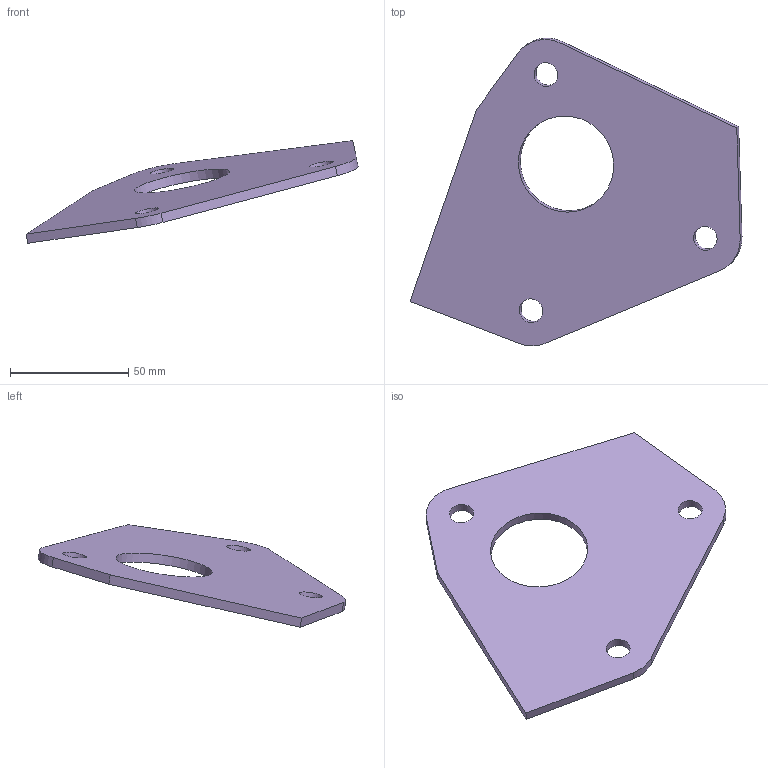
import cadquery as cq
import math

RISE_ALONG_X = 0.2033
RISE_ALONG_Y = 0.1554

PLATE_THICKNESS = 4.0
CORNER_RADIUS = 15.0
BORE_DIAMETER = 41.0
BOLT_HOLE_DIAMETER = 10.15

BACK_HOLE = (-7.5, 38.18)
RIGHT_HOLE = (59.0, -31.7)
FRONT_HOLE = (-17.0, -62.6)
BOLT_HOLES = [BACK_HOLE, RIGHT_HOLE, FRONT_HOLE]

LEFT_TIP = (-69.01, -58.69)
LEFT_KINK = (-38.0, 23.0)
RIGHT_TIP = (74.0, 15.4)


def point_at_angle(center, angle):
    """Point of a rounded corner in the given direction from its centre."""
    x = center[0] + CORNER_RADIUS * math.cos(angle)
    y = center[1] + CORNER_RADIUS * math.sin(angle)
    return (x, y)


def direction(start, end):
    """Angle of the line from start to end."""
    return math.atan2(end[1] - start[1], end[0] - start[0])


def tangent_angle(center, tip, side):
    """Angle from a rounded corner's centre to the tangent point of the edge that runs to a sharp tip.

    The tangent point lies counter-clockwise of the tip for side = 1, clockwise for side = -1.
    """
    spread = math.acos(CORNER_RADIUS / math.dist(center, tip))
    return direction(center, tip) + side * spread


def add_round(outline, center, start_angle, end_angle):
    """Line to a rounded corner, then its counter-clockwise arc."""
    sweep = (end_angle - start_angle) % (2 * math.pi)
    start = point_at_angle(center, start_angle)
    middle = point_at_angle(center, start_angle + sweep / 2)
    end = point_at_angle(center, end_angle)
    return outline.lineTo(*start).threePointArc(middle, end)


def top_face_plane():
    """Tilted plane of the top face, with the bore centre at the origin."""
    return cq.Plane(
        origin=(0, 0, 0),
        xDir=(1, 0, RISE_ALONG_X),
        normal=(-RISE_ALONG_X, -RISE_ALONG_Y, 1),
    )


def make_plate(plane):
    """Plate with three rounded and three sharp corners, traced counter-clockwise."""
    front_edge_normal = direction(FRONT_HOLE, RIGHT_HOLE) - math.pi / 2

    outline = cq.Workplane(plane).moveTo(*LEFT_TIP)
    outline = add_round(outline, FRONT_HOLE, tangent_angle(FRONT_HOLE, LEFT_TIP, 1), front_edge_normal)
    outline = add_round(outline, RIGHT_HOLE, front_edge_normal, tangent_angle(RIGHT_HOLE, RIGHT_TIP, -1))
    outline = outline.lineTo(*RIGHT_TIP)
    outline = add_round(
        outline,
        BACK_HOLE,
        tangent_angle(BACK_HOLE, RIGHT_TIP, 1),
        tangent_angle(BACK_HOLE, LEFT_KINK, -1),
    )
    return outline.lineTo(*LEFT_KINK).close().extrude(-PLATE_THICKNESS)


def cut_bore(plate, plane):
    bore = cq.Workplane(plane).circle(BORE_DIAMETER / 2).extrude(-PLATE_THICKNESS)
    return plate.cut(bore)


def cut_bolt_holes(plate, plane):
    holes = cq.Workplane(plane).pushPoints(BOLT_HOLES).circle(BOLT_HOLE_DIAMETER / 2)
    return plate.cut(holes.extrude(-PLATE_THICKNESS))


top_plane = top_face_plane()
result = make_plate(top_plane)
result = cut_bore(result, top_plane)
result = cut_bolt_holes(result, top_plane)